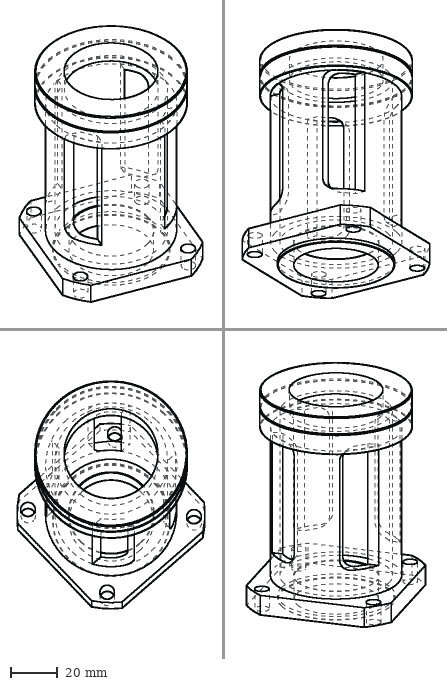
import cadquery as cq

TOTAL_HEIGHT = 95.5
SPIGOT_HEIGHT = 1.7
PLATE_TOP = 10.7
FLANGE_BOTTOM = 78.4
CAP_BOTTOM = 87.5

PLATE_SIDE = 65.0
PLATE_CORNER_DIAMETER = 80.0
BOLT_HOLE_DIAMETER = 6.2
BOLT_SPACING = 50.0

SPIGOT_DIAMETER = 50.0
SPIGOT_CHAMFER = 0.3
BODY_DIAMETER = 56.0
FLANGE_DIAMETER = PLATE_SIDE
CAP_CHAMFER = 0.5
FLANGE_CHAMFER = 0.3

BASE_BORE_DIAMETER = 36.0
BASE_BORE_CHAMFER = 0.3
BODY_BORE_DIAMETER = 48.0
CAP_BORE_DIAMETER = 40.0
BODY_BORE_BOTTOM = PLATE_TOP
BODY_BORE_TOP = 85.9

WINDOW_BOTTOM = 23.5
WINDOW_TOP = 78.7
WINDOW_INNER_X = 10.2
WINDOW_INNER_Y = 14.5
WINDOW_CORNER_RADIUS = 5.0


def cylinder(diameter, bottom, top):
    return cq.Workplane("XY").workplane(offset=bottom).circle(diameter / 2).extrude(top - bottom)


def make_plate():
    height = PLATE_TOP - SPIGOT_HEIGHT
    square = cq.Workplane("XY").workplane(offset=SPIGOT_HEIGHT).rect(PLATE_SIDE, PLATE_SIDE).extrude(height)
    plate = square.intersect(cylinder(PLATE_CORNER_DIAMETER, SPIGOT_HEIGHT, PLATE_TOP))
    return (
        plate.faces(">Z").workplane(origin=(0, 0, PLATE_TOP))
        .rect(BOLT_SPACING, BOLT_SPACING, forConstruction=True)
        .vertices().hole(BOLT_HOLE_DIAMETER)
    )


def make_window(side_x, side_y):
    """Cutter for one quadrant, rounded where it meets the wall nearest the YZ plane."""
    reach = BODY_DIAMETER / 2
    width = reach - WINDOW_INNER_X
    depth = reach - WINDOW_INNER_Y
    inner_face = "<X" if side_x > 0 else ">X"
    block = cq.Workplane("XY").box(width, depth, WINDOW_TOP - WINDOW_BOTTOM).translate((
        side_x * (WINDOW_INNER_X + width / 2),
        side_y * (WINDOW_INNER_Y + depth / 2),
        (WINDOW_BOTTOM + WINDOW_TOP) / 2,
    ))
    rounded = block.faces(inner_face).edges("|Y").fillet(WINDOW_CORNER_RADIUS)
    return rounded.intersect(cylinder(BODY_DIAMETER, WINDOW_BOTTOM, WINDOW_TOP))


spigot = cylinder(SPIGOT_DIAMETER, 0, SPIGOT_HEIGHT).faces("<Z").chamfer(SPIGOT_CHAMFER)
body = cylinder(BODY_DIAMETER, PLATE_TOP, FLANGE_BOTTOM)
flange = cylinder(FLANGE_DIAMETER, FLANGE_BOTTOM, CAP_BOTTOM).edges().chamfer(FLANGE_CHAMFER)
cap = cylinder(FLANGE_DIAMETER, CAP_BOTTOM, TOTAL_HEIGHT).edges().chamfer(CAP_CHAMFER)
result = make_plate().union(spigot).union(body).union(flange).union(cap)

result = result.cut(cylinder(BASE_BORE_DIAMETER, 0, BODY_BORE_BOTTOM))
base_bore_mouth = cq.Solid.makeCone(
    BASE_BORE_DIAMETER / 2,
    BASE_BORE_DIAMETER / 2 + BASE_BORE_CHAMFER,
    BASE_BORE_CHAMFER,
    pnt=cq.Vector(0, 0, BODY_BORE_BOTTOM - BASE_BORE_CHAMFER),
)
result = result.cut(cq.Workplane(base_bore_mouth))
result = result.cut(cylinder(BODY_BORE_DIAMETER, BODY_BORE_BOTTOM, BODY_BORE_TOP))
result = result.cut(cylinder(CAP_BORE_DIAMETER, BODY_BORE_TOP, TOTAL_HEIGHT))

for side_x in (-1, 1):
    for side_y in (-1, 1):
        result = result.cut(make_window(side_x, side_y))